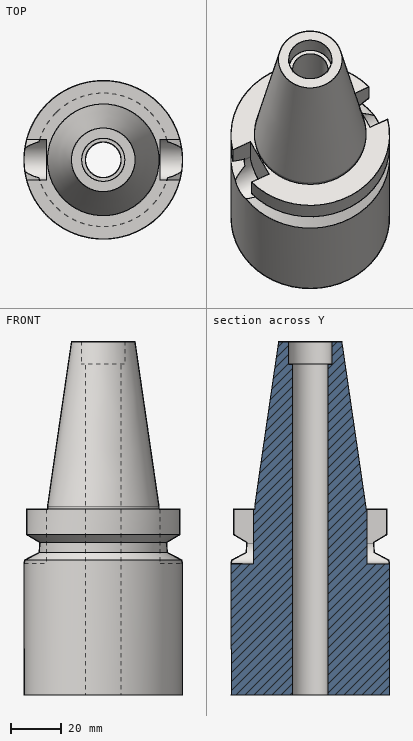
import cadquery as cq

total_height = 140.4
body_radius = 31.52

gauge_line_z = 75.0
taper_base_radius = 22.2
taper_per_side = 7 / 48
taper_top_radius = taper_base_radius - (total_height - gauge_line_z) * taper_per_side

flange_top_z = 73.9
flange_bottom_z = 63.7
groove_floor_radius = 26.5
groove_floor_top_z = 60.7
groove_floor_bottom_z = 56.6
groove_bottom_z = 53.6

slot_width = 16.1
slot_floor_x = 22.6
slot_bottom_z = 52.2

bore_radius = 7.0
counterbore_radius = 8.5
counterbore_depth = 9.0


def revolved_body():
    """Body, grooved flange and taper turned about Z."""
    profile = [
        (0, 0),
        (body_radius, 0),
        (body_radius, groove_bottom_z),
        (groove_floor_radius, groove_floor_bottom_z),
        (groove_floor_radius, groove_floor_top_z),
        (body_radius, flange_bottom_z),
        (body_radius, flange_top_z),
        (taper_base_radius, flange_top_z),
        (taper_base_radius, gauge_line_z),
        (taper_top_radius, total_height),
        (0, total_height),
    ]
    return cq.Workplane("XZ").polyline(profile).close().revolve(360, (0, 0), (0, 1))


def drive_slot(side):
    """Cutter for the slot on the +X (side = 1) or -X (side = -1) face."""
    half_width = slot_width / 2
    arc_center_z = slot_bottom_z + half_width
    return (
        cq.Workplane("YZ", origin=(side * slot_floor_x, 0, 0))
        .moveTo(-half_width, flange_top_z)
        .lineTo(-half_width, arc_center_z)
        .threePointArc((0, slot_bottom_z), (half_width, arc_center_z))
        .lineTo(half_width, flange_top_z)
        .close()
        .extrude(side * body_radius)
    )


def stepped_bore():
    """Through hole with a counterbore at the small end of the taper."""
    through_hole = cq.Workplane("XY").circle(bore_radius).extrude(total_height)
    counterbore = (
        cq.Workplane("XY", origin=(0, 0, total_height))
        .circle(counterbore_radius)
        .extrude(-counterbore_depth)
    )
    return through_hole.union(counterbore)


result = revolved_body().cut(stepped_bore())
for side in (-1, 1):
    result = result.cut(drive_slot(side))